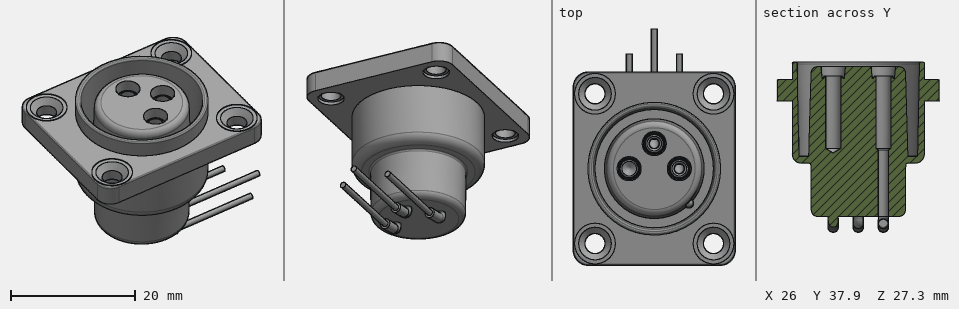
import cadquery as cq
import math

flange_width = 26.0
flange_length = 31.0
flange_thickness = 3.45
flange_corner_radius = 2.45
flange_edge_round = 0.2

screw_spacing_x = 19.0
screw_spacing_y = 24.0
screw_hole_diameter = 3.2
screw_sink_diameter = 5.23
screw_seat_diameter = 6.5
screw_seat_depth = 0.1
screw_sink_depth = 1.0
screw_rear_diameter = 4.2
screw_rear_depth = 0.53

barrel_diameter = 21.25
rim_top = 6.25
rim_outer_round = 0.23
rim_inner_round = 0.3
barrel_bottom = -10.0
barrel_bottom_round = 1.5
neck_top_radius = 7.65
neck_bottom_radius = 7.58
neck_bottom = -18.53
neck_bottom_round = 1.1
neck_root_round = 0.25

cavity_top_radius = 9.78
cavity_floor_radius = 9.47
cavity_floor = -8.83
insert_top = rim_top - 0.72
insert_top_radius = 7.58
insert_floor_radius = 8.0
insert_top_round = 1.05

key_angle = -45
key_top_radius = 0.65
key_top_round = 0.6
key_floor_radius = 0.8
key_top = 1.9
key_distance = 7.8

pin_offset = 4.0
socket_top_diameter = 3.85
socket_floor_diameter = 3.5
contact_depth = 1.55
contact_diameter = 3.2
contact_bore_diameter = 2.35
contact_lip = 0.3
contact_bore_bottom = -7.58
drill_point_angle = 59

tail_diameter = 1.65
tail_bore_diameter = 1.55
tail_bend_start = -18.75
tail_bend_radius = 0.95
tail_slope = 10
tail_straight_length = 3.05
tail_overlap = 0.38
wire_overlap = 0.75
wire_diameter = 1.0
middle_wire_end = 22.4
side_wire_end = middle_wire_end - pin_offset

pins = [
    (-pin_offset, 0, side_wire_end, False),
    (0, pin_offset, middle_wire_end, True),
    (pin_offset, 0, side_wire_end, True),
]


def cone(bottom_radius, top_radius, bottom, top, x=0, y=0):
    """Upright frustum between two heights."""
    height = top - bottom
    return cq.Workplane(cq.Solid.makeCone(bottom_radius, top_radius, height, cq.Vector(x, y, bottom)))


def cylinder(diameter, bottom, top, x=0, y=0):
    """Upright cylinder between two heights."""
    return cq.Workplane("XY", origin=(x, y, bottom)).circle(diameter / 2).extrude(top - bottom)


def make_flange():
    plate = (
        cq.Workplane("XY")
        .rect(flange_width, flange_length)
        .extrude(flange_thickness)
        .edges("|Z")
        .fillet(flange_corner_radius)
    )
    return plate.faces(">Z").edges().fillet(flange_edge_round)


def cut_screw_holes(body):
    seat_level = flange_thickness - screw_seat_depth
    for side_x in (-1, 1):
        for side_y in (-1, 1):
            x = side_x * screw_spacing_x / 2
            y = side_y * screw_spacing_y / 2
            body = body.cut(cylinder(screw_seat_diameter, seat_level, flange_thickness, x, y))
            body = body.cut(cylinder(screw_rear_diameter, 0, screw_rear_depth, x, y))
            body = body.cut(cylinder(screw_hole_diameter, 0, flange_thickness, x, y))
            body = body.cut(
                cone(
                    screw_hole_diameter / 2,
                    screw_sink_diameter / 2,
                    seat_level - screw_sink_depth,
                    seat_level,
                    x,
                    y,
                )
            )
    return body


def make_barrel():
    barrel = cylinder(barrel_diameter, barrel_bottom, rim_top)
    barrel = barrel.faces("<Z").edges().fillet(barrel_bottom_round)
    barrel = barrel.faces(">Z").edges().fillet(rim_outer_round)
    neck = cone(neck_bottom_radius, neck_top_radius, neck_bottom, barrel_bottom)
    neck = neck.faces("<Z").edges().fillet(neck_bottom_round)
    barrel = barrel.union(neck)
    shoulder = barrel.faces("|Z").faces("<Z[1]")
    root = shoulder.edges(cq.selectors.RadiusNthSelector(0))
    return root.fillet(neck_root_round)


def make_cavity():
    return cone(cavity_floor_radius, cavity_top_radius, cavity_floor, rim_top)


def make_insert():
    insert = cone(insert_floor_radius, insert_top_radius, cavity_floor, insert_top)
    insert = insert.faces(">Z").edges().fillet(insert_top_round)
    angle = math.radians(key_angle)
    key = cone(
        key_floor_radius,
        key_top_radius,
        cavity_floor,
        key_top,
        key_distance * math.cos(angle),
        key_distance * math.sin(angle),
    )
    key = key.faces(">Z").edges().fillet(key_top_round)
    return insert.union(key)


def make_socket(x, y):
    """Drafted hole with the chamfered end of a contact tube standing on its floor."""
    contact_top = insert_top - contact_depth
    floor = contact_top - contact_lip
    hole = cone(socket_floor_diameter / 2, socket_top_diameter / 2, floor, insert_top, x, y)
    contact = cylinder(contact_diameter, floor, contact_top, x, y)
    contact = contact.faces(">Z").edges().chamfer(contact_lip / 2)
    bore = cylinder(contact_bore_diameter, contact_bore_bottom, contact_top, x, y)
    bore_radius = contact_bore_diameter / 2
    point_depth = bore_radius / math.tan(math.radians(drill_point_angle))
    point = cone(0, bore_radius, contact_bore_bottom - point_depth, contact_bore_bottom, x, y)
    return hole.cut(contact).union(bore).union(point)


def sweep_tail(diameter, x, y, top, straight_length=0):
    """Round bar running down and bending towards +Y, with an optional straight run after the bend."""
    slope = math.radians(tail_slope)
    half_turn = (math.pi / 2 - slope) / 2

    def on_bend(turn):
        return (
            y + tail_bend_radius * (1 - math.cos(turn)),
            tail_bend_start - tail_bend_radius * math.sin(turn),
        )

    bend_end = on_bend(2 * half_turn)
    tail_end = (
        bend_end[0] + straight_length * math.cos(slope),
        bend_end[1] - straight_length * math.sin(slope),
    )
    path = (
        cq.Workplane("YZ", origin=(x, 0, 0))
        .moveTo(y, top)
        .lineTo(y, tail_bend_start)
        .threePointArc(on_bend(half_turn), bend_end)
    )
    if straight_length:
        path = path.lineTo(*tail_end)
    tail = cq.Workplane("XY", origin=(x, y, top)).circle(diameter / 2).sweep(path)
    return tail, tail_end


def make_wire(x, start, end):
    """Level wire running towards +Y from a (Y, Z) start point."""
    start_y, z = start
    return cq.Workplane("XZ", origin=(x, start_y, z)).circle(wire_diameter / 2).extrude(start_y - end)


body = make_flange().union(make_barrel())
body = body.cut(make_cavity())
body = body.faces(">Z").edges(cq.selectors.RadiusNthSelector(0)).fillet(rim_inner_round)
body = body.union(make_insert())
body = cut_screw_holes(body)

for x, y, wire_end, is_open in pins:
    tail, tail_end = sweep_tail(tail_diameter, x, y, neck_bottom + tail_overlap, tail_straight_length)
    wire_start = (tail_end[0] - wire_overlap, tail_end[1])
    body = body.union(tail).union(make_wire(x, wire_start, wire_end))
    body = body.cut(make_socket(x, y))
    if is_open:
        bore, _ = sweep_tail(tail_bore_diameter, x, y, contact_bore_bottom)
        body = body.cut(bore)

result = body